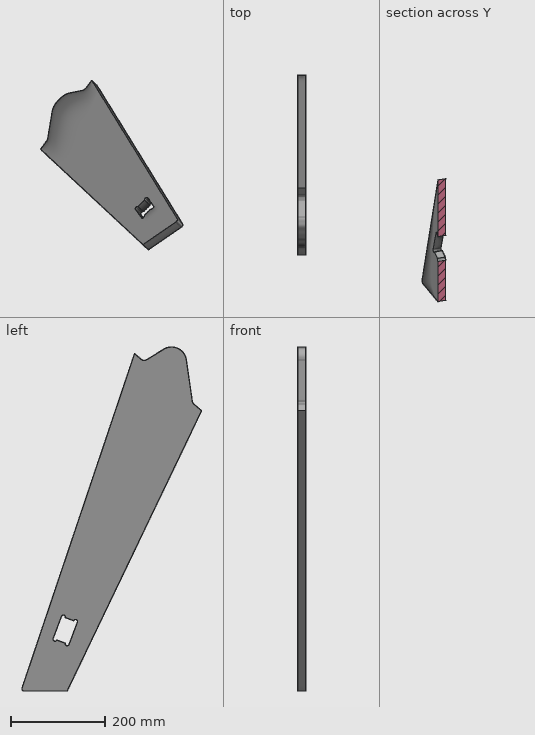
import cadquery as cq
import math

thickness = 18.0
overall_height = 730.13
overall_reach = 381.6

foot_radius = 5.0
foot_end = 96.3
long_edge_lean = 18.6

long_edge_tip_height = 716.0
short_edge_tip = (overall_reach, 594.9)

tongue_radius = 31.8
tongue_centre = (317.7, overall_height - tongue_radius)
tongue_slope = 31.7
tongue_lean = 8.2
root_radius = 10.0

window_centre = (92.2, 129.0)
window_width = 35.5
window_length = 50.5
window_lean = 20.5
relief_radius = 4.0


def polar(angle):
    """Unit vector at an angle in degrees from the reach axis."""
    return math.cos(math.radians(angle)), math.sin(math.radians(angle))


def step(point, angle, distance):
    """Point reached by moving a distance from a point along an angle."""
    along, up = polar(angle)
    return point[0] + distance * along, point[1] + distance * up


def crossing(first, first_angle, second, second_angle):
    """Intersection of two lines, each given by a point and an angle."""
    a, b = polar(first_angle), polar(second_angle)
    offset = second[0] - first[0], second[1] - first[1]
    distance = (offset[0] * b[1] - offset[1] * b[0]) / (a[0] * b[1] - a[1] * b[0])
    return step(first, first_angle, distance)


def blade():
    """Solid blade with its tongue and rounded corners."""
    long_edge_angle = 90 - long_edge_lean
    inner_angle = tongue_slope
    outer_angle = 90 + tongue_lean

    foot_corner = (foot_radius - foot_radius / math.tan(math.radians(long_edge_angle / 2)), 0)
    edge_length = long_edge_tip_height / math.sin(math.radians(long_edge_angle))
    long_edge_tip = step(foot_corner, long_edge_angle, edge_length)
    end_angle = math.degrees(math.atan2(
        short_edge_tip[1] - long_edge_tip[1], short_edge_tip[0] - long_edge_tip[0]))

    inner_tangent = step(tongue_centre, inner_angle + 90, tongue_radius)
    outer_tangent = step(tongue_centre, outer_angle - 90, tongue_radius)
    nose_middle = step(tongue_centre, (inner_angle + outer_angle) / 2, tongue_radius)
    inner_root = crossing(long_edge_tip, end_angle, inner_tangent, inner_angle)
    outer_root = crossing(long_edge_tip, end_angle, outer_tangent, outer_angle)

    body = (
        cq.Workplane("YZ")
        .moveTo(*mirrored(foot_corner))
        .lineTo(*mirrored(long_edge_tip))
        .lineTo(*mirrored(inner_root))
        .lineTo(*mirrored(inner_tangent))
        .threePointArc(mirrored(nose_middle), mirrored(outer_tangent))
        .lineTo(*mirrored(outer_root))
        .lineTo(*mirrored(short_edge_tip))
        .lineTo(*mirrored((foot_end, 0)))
        .close()
        .extrude(thickness)
    )
    body = round_corner(body, foot_corner, foot_radius)
    for root in (inner_root, outer_root):
        body = round_corner(body, root, root_radius)
    return body


def mirrored(point):
    """Outline point (reach, height) as (Y, Z)."""
    return -point[0], point[1]


def round_corner(body, corner, radius):
    """Fillet the edge through the thickness at an outline corner."""
    y, z = mirrored(corner)
    nearest = cq.selectors.NearestToPointSelector((thickness / 2, y, z))
    return body.edges("|X").edges(nearest).fillet(radius)


def window():
    """Cutter for the leaning window; reliefs deepen the short sides at the corners."""
    half_length = window_length / 2
    relief_offset = window_width / 2 - relief_radius
    reliefs = [(side * relief_offset, end * half_length) for side in (-1, 1) for end in (-1, 1)]
    cutter = cq.Workplane("YZ").rect(window_width, window_length).extrude(thickness)
    relief_holes = cq.Workplane("YZ").pushPoints(reliefs).circle(relief_radius).extrude(thickness)
    cutter = cutter.union(relief_holes)
    y, z = mirrored(window_centre)
    return cutter.rotate((0, 0, 0), (1, 0, 0), window_lean).translate((0, y, z))


result = blade().cut(window())